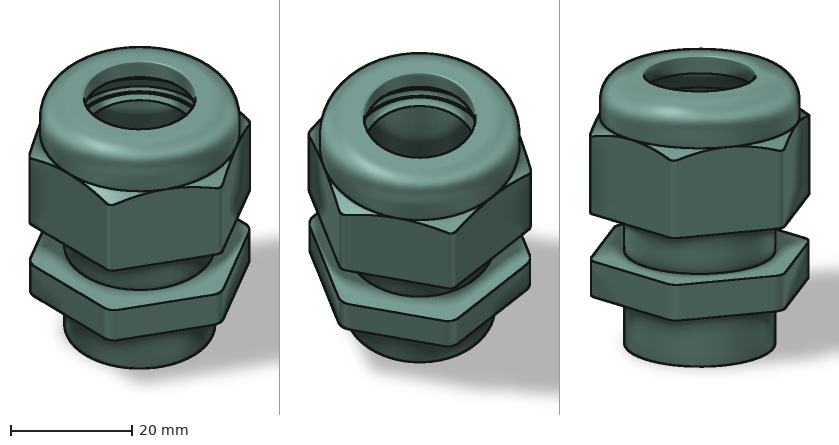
import cadquery as cq
import math

flat_width = 33.0
total_height = 47.0
tube_radius = 12.5
bore_radius = 9.2

tube_height = 39.55
collar_bottom = 9.95
collar_height = 6.2
collar_corner_radius = 2.5
seat_radius = 11.15

seal_bottom = 24.35
seal_top_recess = 0.4

cap_bottom = 24.35
cap_corner_radius = 1.5
shoulder_height = 39.4
corner_drop = 1.55
corner_reach = 18.8
crown_face_radius = 12.2
crown_arc_start = 42.3
cavity_radius = 14.45
cavity_floor = 37.6
cavity_cone_bottom = 39.6
cavity_cone_top = 43.85
mouth_fillet = 0.5


def cylinder(radius, bottom, top):
    return cq.Workplane("XY").workplane(offset=bottom).circle(radius).extrude(top - bottom)


def hex_prism(bottom, height, corner_radius):
    """Hexagon with corners on the Y axis and rounded upright edges."""
    corner_diameter = flat_width / math.cos(math.pi / 6)
    return (
        cq.Workplane("XY")
        .workplane(offset=bottom)
        .transformed(rotate=(0, 0, 30))
        .polygon(6, corner_diameter)
        .extrude(height)
        .edges("|Z")
        .fillet(corner_radius)
    )


def make_body():
    tube = cylinder(tube_radius, 0, tube_height)
    collar = hex_prism(collar_bottom, collar_height, collar_corner_radius)
    bore = cylinder(bore_radius, 0, tube_height)
    seal_seat = cylinder(seat_radius, seal_bottom, tube_height)
    return tube.union(collar).cut(bore).cut(seal_seat)


def make_seal():
    seal_top = tube_height - seal_top_recess
    ring = cylinder(seat_radius, seal_bottom, seal_top)
    return ring.cut(cylinder(bore_radius, seal_bottom, seal_top))


def make_cap_envelope():
    """Turned outline: conical shoulder, straight crown side and rounded crown top."""
    crown_radius = flat_width / 2
    shoulder_slope = corner_drop / (corner_reach - crown_radius)
    outer_radius = flat_width
    outer_height = shoulder_height - shoulder_slope * (outer_radius - crown_radius)
    return (
        cq.Workplane("XZ")
        .moveTo(0, cap_bottom)
        .lineTo(outer_radius, cap_bottom)
        .lineTo(outer_radius, outer_height)
        .lineTo(crown_radius, shoulder_height)
        .lineTo(crown_radius, crown_arc_start)
        .tangentArcPoint((crown_face_radius, total_height), relative=False)
        .lineTo(0, total_height)
        .close()
        .revolve(360, (0, 0, 0), (0, 1, 0))
    )


def make_cap_cavity():
    """Tube bore, wide chamber with a conical roof, and mouth with a rounded rim."""
    mouth_arc_start = total_height - mouth_fillet
    mouth_arc_inset = mouth_fillet * (1 - math.sqrt(0.5))
    return (
        cq.Workplane("XZ")
        .moveTo(0, cap_bottom)
        .lineTo(tube_radius, cap_bottom)
        .lineTo(tube_radius, cavity_floor)
        .lineTo(cavity_radius, cavity_floor)
        .lineTo(cavity_radius, cavity_cone_bottom)
        .lineTo(bore_radius, cavity_cone_top)
        .lineTo(bore_radius, mouth_arc_start)
        .threePointArc(
            (bore_radius + mouth_arc_inset, total_height - mouth_arc_inset),
            (bore_radius + mouth_fillet, total_height),
        )
        .lineTo(0, total_height)
        .close()
        .revolve(360, (0, 0, 0), (0, 1, 0))
    )


def make_cap():
    hexagon = hex_prism(cap_bottom, total_height - cap_bottom, cap_corner_radius)
    return hexagon.intersect(make_cap_envelope()).cut(make_cap_cavity())


gland_body = make_body()
seal = make_seal()
cap = make_cap()

result = cq.Compound.makeCompound([gland_body.val(), seal.val(), cap.val()])